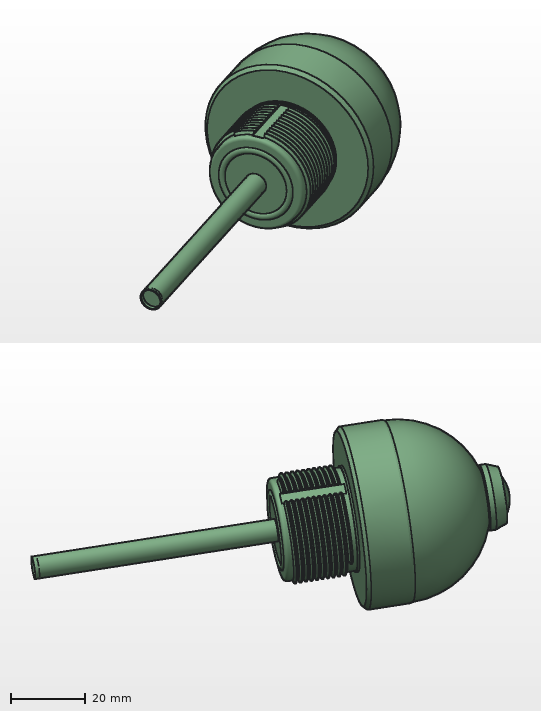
import cadquery as cq
import math

overall_length = 130.39
overlap = 0.5

base_radius = 25.0
base_height = 13.2
base_bottom_chamfer = 1.1
base_top_chamfer_height = 0.7
base_top_chamfer_width = 0.2

dome_radius = base_radius - base_top_chamfer_width

neck_radius = 8.2
button_bottom = 36.9
button_radius = 9.0
button_side_height = 1.6
button_rim_radius = 7.8
button_rim = 41.7
button_cap_radius = 6.0
button_top = 43.7

thread_radius = 15.0
thread_pitch = 1.5
thread_depth = 0.9
thread_crest_width = 0.2
thread_root_width = 1.3
thread_sink = 0.1
thread_start = 2.4
thread_end = 17.9
boss_radius = thread_radius - thread_depth
boss_length = 20.2
boss_end_fillet = 1.0
collar_radius = boss_radius + 0.4
collar_length = 0.6

keyway_width = 3.2
keyway_start = 1.2
keyway_end = 18.9
keyway_floor = 13.95

ring_radius = 10.1
ring_width = 1.9
ring_height = 0.5

cable_radius = 3.1
cable_end = overall_length - button_top
tip_recess_radius = 2.8
tip_recess_depth = 1.2


def cylinder_down(radius, start, end):
    """Cylinder on the Y axis between two distances below the base."""
    sketch = cq.Workplane("XZ", origin=(0, -start, 0)).circle(radius)
    return sketch.extrude(end - start)


def turn(outline):
    """Turn a closed outline in the XY plane about the Y axis."""
    return outline.close().revolve(360, (0, 0, 0), (0, 1, 0))


def make_dome():
    """Hemisphere with its button."""
    neck_height = math.sqrt(dome_radius**2 - neck_radius**2)
    mid_offset = dome_radius * math.sqrt(0.5)
    cap_height = button_top - button_rim
    cap_sphere = (button_cap_radius**2 + cap_height**2) / (2 * cap_height)
    cap_mid_radius = button_cap_radius / 2
    cap_mid = button_top - cap_sphere + math.sqrt(cap_sphere**2 - cap_mid_radius**2)
    outline = (
        cq.Workplane("XY")
        .moveTo(0, base_height)
        .lineTo(dome_radius, base_height)
        .threePointArc(
            (mid_offset, base_height + mid_offset),
            (neck_radius, base_height + neck_height),
        )
        .lineTo(neck_radius, button_bottom)
        .lineTo(button_radius, button_bottom)
        .lineTo(button_radius, button_bottom + button_side_height)
        .lineTo(button_rim_radius, button_rim)
        .lineTo(button_cap_radius, button_rim)
        .threePointArc((cap_mid_radius, cap_mid), (0, button_top))
    )
    return turn(outline)


def make_drum():
    """Drum with a chamfer round its top and bottom edges."""
    outline = (
        cq.Workplane("XY")
        .lineTo(base_radius - base_bottom_chamfer, 0)
        .lineTo(base_radius, base_bottom_chamfer)
        .lineTo(base_radius, base_height - base_top_chamfer_height)
        .lineTo(base_radius - base_top_chamfer_width, base_height)
        .lineTo(0, base_height)
    )
    return turn(outline)


def make_thread():
    """One helical ridge, its flanks carried on into the boss."""
    length = thread_end - thread_start
    foot_radius = boss_radius - thread_sink
    flank_slope = (thread_root_width - thread_crest_width) / thread_depth
    foot_width = thread_root_width + flank_slope * thread_sink
    helix = cq.Wire.makeHelix(thread_pitch, length, boss_radius)
    ridge = (
        cq.Workplane("XZ")
        .moveTo(foot_radius, -foot_width / 2)
        .lineTo(thread_radius, -thread_crest_width / 2)
        .lineTo(thread_radius, thread_crest_width / 2)
        .lineTo(foot_radius, foot_width / 2)
        .close()
        .sweep(cq.Workplane(helix), isFrenet=True)
    )
    along_y = ridge.rotate((0, 0, 0), (1, 0, 0), 90)
    return along_y.translate((0, -thread_start, 0))


def make_keyway_cutter(side):
    """Cutter for one keyway; side is 1 for +Z and -1 for -Z."""
    length = keyway_end - keyway_start
    depth = thread_radius + overlap - keyway_floor
    middle = -(keyway_start + keyway_end) / 2
    cutter = cq.Workplane("XY").box(keyway_width, length, depth)
    return cutter.translate((0, middle, side * (keyway_floor + depth / 2)))


def make_boss():
    """Threaded boss with keyways and a ring on its end."""
    boss = cylinder_down(boss_radius, -overlap, boss_length)
    boss = boss.faces("<Y").edges().fillet(boss_end_fillet)
    boss = boss.union(make_thread())
    boss = boss.union(cylinder_down(collar_radius, -overlap, collar_length))
    for side in (1, -1):
        boss = boss.cut(make_keyway_cutter(side))
    return boss.union(make_end_ring())


def make_end_ring():
    """Ring with a rounded crest, its foot sunk into the boss."""
    inner = ring_radius - ring_width / 2
    outer = ring_radius + ring_width / 2
    outline = (
        cq.Workplane("XY")
        .moveTo(inner, overlap - boss_length)
        .lineTo(inner, -boss_length)
        .threePointArc((ring_radius, -boss_length - ring_height), (outer, -boss_length))
        .lineTo(outer, overlap - boss_length)
    )
    return turn(outline)


def make_cable():
    """Straight cable with a recessed tip."""
    cable = cylinder_down(cable_radius, boss_length - overlap, cable_end)
    recess = cylinder_down(tip_recess_radius, cable_end - tip_recess_depth, cable_end)
    return cable.cut(recess)


def make_base():
    """Drum, threaded boss and cable as one body."""
    return make_drum().union(make_boss()).union(make_cable())


dome = make_dome()
base = make_base()

result = cq.Compound.makeCompound([dome.val(), *base.vals()])